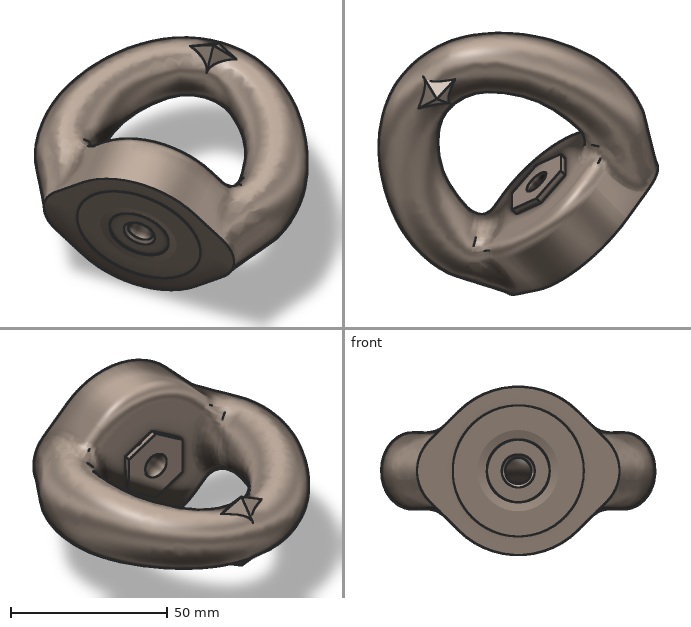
import cadquery as cq
import math


hub_height = 20.0
hub_radius = 27.0
hub_half_width = 32.4
hub_corner_radius = 14.0
hub_flank_slope = math.radians(45)
hub_corner_center = hub_half_width - hub_corner_radius
hub_corner_x = hub_corner_center + hub_corner_radius * math.sin(hub_flank_slope)
hub_top_fillet = 5.0

loop_half_width = 43.9
crown_height = 79.45
crown_bar_radius = 9.2
side_bar_half_width = 10.25
side_bar_half_depth = 12.4
crown_arc_radius = 26.0
widest_height = 28.5
lower_arc_radius = 18.0
leg_angle = 29.0
leg_length = 20.0
taper_start_height = crown_height - crown_bar_radius
taper_end_height = 38.0
junction_fillet = 7.0

mark_half_length = 13.6

disc_diameter = 42.0
disc_thickness = 10.0
disc_protrusion = 0.2
dish_diameter = 26.0
dish_depth = 0.2

bolt_diameter = 20.0
bolt_hole_diameter = 20.2
bolt_face_height = 0.4
hex_across_flats = 20.9
hex_height = 2.2
thread_diameter = 8.38
thread_mouth_diameter = 10.6


def cylinder(diameter, start, end):
    """Cylinder on the Y axis from height start to height end."""
    plane = cq.Workplane("XZ", origin=(0, start, 0))
    return plane.circle(diameter / 2).extrude(start - end)


def cone(start_diameter, end_diameter, start, end):
    """Cone on the Y axis between two heights."""
    base = cq.Vector(0, start, 0)
    axis = cq.Vector(0, 1, 0)
    return cq.Workplane(cq.Solid.makeCone(start_diameter / 2, end_diameter / 2, end - start, base, axis))


def make_hub():
    """Round hub with 45 degree flanks running to a rounded corner on each side."""
    flank_x = hub_radius * math.sin(hub_flank_slope)
    flank_z = hub_radius * math.cos(hub_flank_slope)
    corner_z = hub_corner_radius * math.cos(hub_flank_slope)
    return (
        cq.Workplane("XZ")
        .moveTo(-flank_x, flank_z)
        .threePointArc((0, hub_radius), (flank_x, flank_z))
        .lineTo(hub_corner_x, corner_z)
        .threePointArc((hub_half_width, 0), (hub_corner_x, -corner_z))
        .lineTo(flank_x, -flank_z)
        .threePointArc((0, -hub_radius), (-flank_x, -flank_z))
        .lineTo(-hub_corner_x, -corner_z)
        .threePointArc((-hub_half_width, 0), (-hub_corner_x, corner_z))
        .close()
        .extrude(-hub_height)
        .faces(">Y")
        .edges()
        .fillet(hub_top_fillet)
    )


def loop_stations():
    """Centreline points (x, y, heading) of the right half, from the crown to the top of the leg.

    The heading is the angle of the outward normal from the X axis.
    """
    line_x = loop_half_width - side_bar_half_width
    crown_y = crown_height - crown_bar_radius - crown_arc_radius
    reach = line_x - crown_arc_radius
    rise = crown_y - widest_height
    side_x = (rise**2 - reach**2) / (2 * reach)
    side_radius = line_x + side_x
    blend_angle = math.degrees(math.atan2(rise, side_x))

    def on_arc(x, y, radius, angle):
        turn = math.radians(angle)
        return (x + radius * math.cos(turn), y + radius * math.sin(turn), angle)

    lower_x = line_x - lower_arc_radius
    crown_angles = [90 + (blend_angle - 90) * part for part in (0, 1 / 3, 2 / 3, 1)]
    stations = [on_arc(0, crown_y, crown_arc_radius, angle) for angle in crown_angles]
    side_angles = [blend_angle * part for part in (2 / 3, 1 / 3, 0)]
    stations += [on_arc(-side_x, widest_height, side_radius, angle) for angle in side_angles]
    stations += [on_arc(lower_x, widest_height, lower_arc_radius, -leg_angle * part) for part in (0.5, 1)]
    return stations


def bar_section(x, y, heading):
    """Oval bar outline across the centreline, growing from the crown down to the sides."""
    growth = (taper_start_height - y) / (taper_start_height - taper_end_height)
    growth = min(max(growth, 0), 1)
    half_width = crown_bar_radius + growth * (side_bar_half_width - crown_bar_radius)
    half_depth = crown_bar_radius + growth * (side_bar_half_depth - crown_bar_radius)
    turn = math.radians(heading)
    along = (math.sin(turn), -math.cos(turn), 0)
    plane = cq.Plane(origin=(x, y, 0), xDir=(0, 0, 1), normal=along)
    return cq.Workplane(plane).ellipse(half_depth, half_width).wires().val()


def make_loop():
    """Curved bar from leg to leg, with straight legs trimmed flat at the hub base."""
    right = loop_stations()
    left = [(-x, y, 180 - heading) for x, y, heading in right[:0:-1]]
    sections = [bar_section(*station) for station in left + right]
    loop = cq.Workplane(cq.Solid.makeLoft(sections))
    lean = math.radians(leg_angle)
    for side, section in ((-1, sections[0]), (1, sections[-1])):
        run = cq.Vector(-side * math.sin(lean), -math.cos(lean), 0) * leg_length
        loop = loop.union(cq.Workplane(cq.Solid.extrudeLinear(section, [], run)))
    size = 4 * loop_half_width
    above_base = cq.Workplane("XY").box(size, size, size).translate((0, size / 2, 0))
    return loop.intersect(above_base)


def make_wear_mark(side):
    """Four-sided point whose faces run tangent to the crown bar, on the +Z or -Z side."""
    tip = crown_bar_radius * math.sqrt(2)
    base = tip / 2
    y = crown_height - crown_bar_radius
    corners = [(mark_half_length, y), (0, y + base), (-mark_half_length, y), (0, y - base)]
    outline = [cq.Vector(px, py, side * base) for px, py in corners]
    apex = cq.Vector(0, y, side * tip)
    faces = [cq.Face.makeFromWires(cq.Wire.makePolygon(outline, close=True))]
    for start, end in zip(outline, outline[1:] + outline[:1]):
        faces.append(cq.Face.makeFromWires(cq.Wire.makePolygon([start, end, apex], close=True)))
    return cq.Workplane(cq.Solid.makeSolid(cq.Shell.makeShell(faces)))


def blend_loop_into_hub(eye):
    """Round the inside corner where the loop meets the hub flanks and the hub top."""
    top = hub_height + hub_top_fillet
    for inner, outer in ((hub_corner_center, hub_corner_x), (-hub_corner_x, -hub_corner_center)):
        junction = cq.selectors.BoxSelector((inner, 0, -hub_radius), (outer, top, hub_radius))
        eye = eye.edges(junction).edges("%BSPLINE").fillet(junction_fillet)
    return eye


def make_eye():
    """Loop and hub in one forging, bored for the disc and the bolt."""
    eye = blend_loop_into_hub(make_loop().union(make_hub()))
    for side in (1, -1):
        eye = eye.union(make_wear_mark(side))
    eye = eye.cut(cylinder(disc_diameter, 0, disc_thickness))
    return eye.cut(cylinder(bolt_hole_diameter, 0, hub_height))


def make_disc():
    """Bearing disc standing just proud of the hub base, with a shallow dish around its hole."""
    disc = cylinder(disc_diameter, -disc_protrusion, disc_thickness)
    disc = disc.cut(cylinder(bolt_hole_diameter, -disc_protrusion, disc_thickness))
    dish = cone(dish_diameter, bolt_hole_diameter, -disc_protrusion, dish_depth - disc_protrusion)
    return disc.cut(dish)


def make_bolt():
    """Round shank with a hex head, one hex corner up, and a threaded bore right through."""
    bolt_end = hub_height + hex_height
    shank = cylinder(bolt_diameter, bolt_face_height, hub_height)
    hex_plane = cq.Workplane("XZ", origin=(0, hub_height, 0)).transformed(rotate=(0, 0, 90))
    hex_corners = hex_across_flats / math.cos(math.pi / 6)
    bolt = shank.union(hex_plane.polygon(6, hex_corners).extrude(-hex_height))
    bolt = bolt.cut(cylinder(thread_diameter, bolt_face_height, bolt_end))
    mouth_depth = (thread_mouth_diameter - thread_diameter) / 2
    mouth_end = bolt_face_height + mouth_depth
    return bolt.cut(cone(thread_mouth_diameter, thread_diameter, bolt_face_height, mouth_end))


eye = make_eye()
disc = make_disc()
bolt = make_bolt()
result = cq.Compound.makeCompound([eye.val(), disc.val(), bolt.val()])